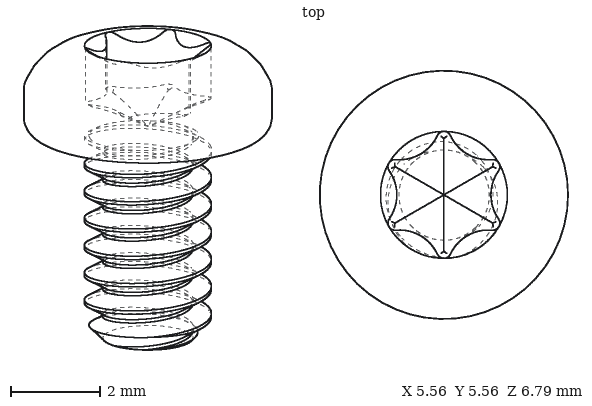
import cadquery as cq
import math


HEAD_DIAMETER = 5.56
HEAD_HEIGHT = 2.03
HEAD_EDGE_RADIUS = 0.38
CROWN_RADIUS = 1.44

SHANK_LENGTH = 4.76
THREAD_DIAMETER = 2.845
PITCH = 0.635
FLANK_ANGLE = 30.0
THREAD_FLAT = PITCH / 8
CREST_Z_AT_PLUS_X = -0.46
CUTTER_OVERRUN = 0.03

LOBE_COUNT = 6
SOCKET_RADIUS = 1.42
SOCKET_WAIST_RADIUS = 1.052
LOBE_RADIUS = 0.16
SOCKET_WALL_DEPTH = 1.27
SOCKET_FLOOR_ANGLE = 30.0
LEAD_IN_ANGLE = 30.0

head_radius = HEAD_DIAMETER / 2
crown_flat_radius = SOCKET_RADIUS
thread_radius = THREAD_DIAMETER / 2
flank_slope = math.tan(math.radians(FLANK_ANGLE))
thread_depth = (PITCH - 2 * THREAD_FLAT) / 2 / flank_slope
root_radius = thread_radius - thread_depth

lobe_step = 360 / LOBE_COUNT
half_step = math.radians(lobe_step / 2)
lobe_center = SOCKET_RADIUS - LOBE_RADIUS
waist_to_lobe = SOCKET_WAIST_RADIUS - LOBE_RADIUS
scallop_center = (lobe_center**2 - waist_to_lobe**2) / (
    2 * (lobe_center * math.cos(half_step) - waist_to_lobe)
)
scallop_radius = scallop_center - SOCKET_WAIST_RADIUS


def polar(radius, angle):
    """Point at the given radius and angle in degrees."""
    angle_rad = math.radians(angle)
    return (radius * math.cos(angle_rad), radius * math.sin(angle_rad))


def make_head():
    """Revolve the head: flat top, crown arc, rounded rim and rounded lower edge."""
    crown_center_z = HEAD_HEIGHT - CROWN_RADIUS
    rim_center_r = head_radius - HEAD_EDGE_RADIUS
    rim_angle = math.acos((rim_center_r - crown_flat_radius) / (CROWN_RADIUS - HEAD_EDGE_RADIUS))
    rim_center_z = crown_center_z + (CROWN_RADIUS - HEAD_EDGE_RADIUS) * math.sin(rim_angle)

    def crown_point(angle):
        return (
            crown_flat_radius + CROWN_RADIUS * math.cos(angle),
            crown_center_z + CROWN_RADIUS * math.sin(angle),
        )

    def rim_point(angle):
        return (
            rim_center_r + HEAD_EDGE_RADIUS * math.cos(angle),
            rim_center_z + HEAD_EDGE_RADIUS * math.sin(angle),
        )

    edge_diagonal = HEAD_EDGE_RADIUS * math.sqrt(0.5)
    return (
        cq.Workplane("XZ")
        .lineTo(rim_center_r, 0)
        .threePointArc(
            (rim_center_r + edge_diagonal, HEAD_EDGE_RADIUS - edge_diagonal),
            (head_radius, HEAD_EDGE_RADIUS),
        )
        .lineTo(*rim_point(0))
        .threePointArc(rim_point(rim_angle / 2), rim_point(rim_angle))
        .threePointArc(crown_point((rim_angle + math.pi / 2) / 2), (crown_flat_radius, HEAD_HEIGHT))
        .lineTo(0, HEAD_HEIGHT)
        .close()
        .revolve(360, (0, 0), (0, 1))
    )


def make_thread_groove():
    """Sweep the V groove, with its flat root, along a right-hand helix longer than the shank."""
    outer_radius = thread_radius + CUTTER_OVERRUN
    root_half_width = THREAD_FLAT / 2
    outer_half_width = root_half_width + (outer_radius - root_radius) * flank_slope
    turns = math.ceil(SHANK_LENGTH / PITCH) + 1
    groove_top_z = CREST_Z_AT_PLUS_X + PITCH / 2 + PITCH
    start_z = groove_top_z - turns * PITCH
    helix = cq.Wire.makeHelix(PITCH, turns * PITCH, root_radius)
    groove = (
        cq.Workplane("XZ")
        .moveTo(root_radius, root_half_width)
        .lineTo(outer_radius, outer_half_width)
        .lineTo(outer_radius, -outer_half_width)
        .lineTo(root_radius, -root_half_width)
        .close()
        .sweep(cq.Workplane(obj=helix), isFrenet=True)
    )
    return groove.translate((0, 0, start_z))


def make_shank():
    """Threaded shank with a 45 degree point chamfer reaching down to the thread root."""
    blank = (
        cq.Workplane("XY")
        .circle(thread_radius)
        .extrude(-SHANK_LENGTH)
        .faces("<Z")
        .chamfer(thread_depth)
    )
    return blank.cut(make_thread_groove())


def make_cone(center, top_radius, bottom_radius, top_z, height):
    """Vertical cone that extends down from top_z."""
    return cq.Workplane(
        obj=cq.Solid.makeCone(
            top_radius, bottom_radius, height, cq.Vector(*center, top_z), cq.Vector(0, 0, -1)
        )
    )


def make_socket():
    """Six-lobe recess whose floor slopes inwards from every wall, with a conical lead-in."""
    floor_slope = math.tan(math.radians(SOCKET_FLOOR_ANGLE))
    wall_bottom_z = HEAD_HEIGHT - SOCKET_WALL_DEPTH
    floor_depth = SOCKET_WAIST_RADIUS * floor_slope
    scallop_angles = [i * lobe_step for i in range(LOBE_COUNT)]
    lobe_angles = [angle + lobe_step / 2 for angle in scallop_angles]

    star = []
    for scallop_angle, lobe_angle in zip(scallop_angles, lobe_angles):
        star.append(polar(scallop_center, scallop_angle))
        star.append(polar(lobe_center, lobe_angle))

    star_outline = cq.Workplane("XY", origin=(0, 0, wall_bottom_z)).polyline(star).close()
    walls = star_outline.extrude(SOCKET_WALL_DEPTH)
    star_outline = cq.Workplane("XY", origin=(0, 0, wall_bottom_z)).polyline(star).close()
    floor = star_outline.extrude(-floor_depth)

    for angle in scallop_angles:
        center = polar(scallop_center, angle)
        scallop = cq.Workplane("XY", origin=(*center, wall_bottom_z)).circle(scallop_radius)
        walls = walls.cut(scallop.extrude(SOCKET_WALL_DEPTH))
        floor = floor.cut(
            make_cone(center, scallop_radius, scallop_center, wall_bottom_z, floor_depth)
        )

    for angle in lobe_angles:
        center = polar(lobe_center, angle)
        lobe = cq.Workplane("XY", origin=(*center, wall_bottom_z)).circle(LOBE_RADIUS)
        walls = walls.union(lobe.extrude(SOCKET_WALL_DEPTH))
        floor = floor.union(
            make_cone(center, LOBE_RADIUS, 0, wall_bottom_z, LOBE_RADIUS * floor_slope)
        )

    lead_in_depth = SOCKET_RADIUS * math.tan(math.radians(LEAD_IN_ANGLE))
    lead_in = make_cone((0, 0), SOCKET_RADIUS, 0, HEAD_HEIGHT, lead_in_depth)
    return walls.union(floor).union(lead_in)


result = make_head().union(make_shank()).cut(make_socket())